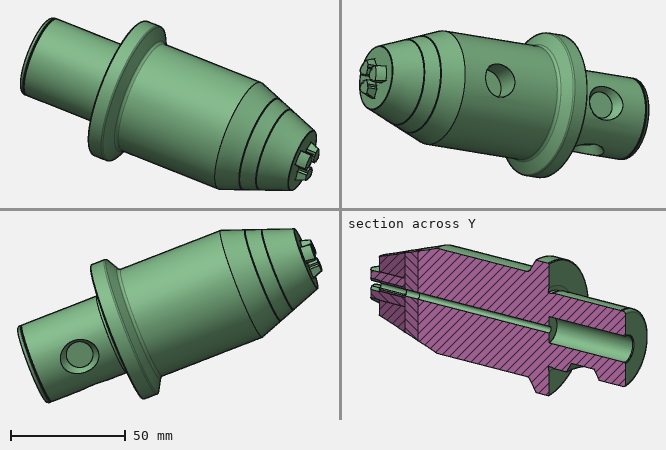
import cadquery as cq
import math


flange_back = 40.0
flange_rim_end = 46.9
taper_start = 98.4
collar_back = 108.5
nose_back = 115.5
nose_front = 128.8
jaw_tip = 133.2

shank_radius = 18.0
shank_end_fillet = 1.3
shank_groove_position = 1.7
shank_groove_width = 0.7
shank_groove_depth = 0.1
rear_bore_radius = 6.1
rear_bore_depth = 40.0
rear_bore_chamfer = 0.4
through_bore_radius = 1.5

undercut_length = 2.5
undercut_ramp = 1.0
undercut_depth = 0.4
undercut_outer_radius = 19.8

recess_position = 22.4
recess_mouth_radius = 8.5
recess_wall_angle = math.radians(30)
recess_floor = 13.3
recess_directions = [(0, 1, 0), (0, 0, -1)]

flange_diameter = 63.0
flange_radius = flange_diameter / 2
flange_chamfer = 0.4
flange_slope = math.radians(60)
flange_rim_fillet = 0.8
flange_root_fillet = 1.6

barrel_radius = 25.0
taper_slope = math.radians(20)
joint_chamfer = 0.2
key_hole_position = 80.5
key_hole_radius = 7.5
key_hole_floor = 13.3

jaw_count = 3
jaw_width = 6.7
jaw_tip_outer_radius = 7.5
jaw_slope = math.radians(20)
jaw_edge_distance = 1.5
jaw_edge_width = 4.5
jaw_step = 0.8
jaw_edge_half_angle = math.radians(60)


def taper_radius(x):
    """Radius of the front taper at position x."""
    return barrel_radius - (x - taper_start) * math.tan(taper_slope)


def revolve(points):
    """Turn a closed outline of (x, radius) points around the chuck axis."""
    return cq.Workplane("XY").polyline(points).close().revolve(360, (0, 0, 0), (1, 0, 0))


def circular_edge(body, x, radius):
    """Select the circular edge of the given radius that lies at position x."""
    tolerance = 0.001

    def matches(edge):
        if edge.geomType() != "CIRCLE":
            return False
        return abs(edge.Center().x - x) < tolerance and abs(edge.radius() - radius) < tolerance

    return body.edges().filter(matches)


def axial_cylinder(radius, start, end):
    """Cylinder on the chuck axis between two positions."""
    return cq.Workplane("YZ", origin=(start, 0, 0)).circle(radius).extrude(end - start)


def make_turned_blank():
    """Shank, flange, barrel and the first part of the taper, without holes."""
    cone_end = flange_rim_end + (flange_radius - barrel_radius) / math.tan(flange_slope)
    joint_radius = taper_radius(collar_back)
    blank = revolve([
        (0, 0),
        (0, shank_radius),
        (flange_back, shank_radius),
        (flange_back, flange_radius),
        (flange_rim_end, flange_radius),
        (cone_end, barrel_radius),
        (taper_start, barrel_radius),
        (collar_back, joint_radius),
        (collar_back, 0),
    ])
    blank = circular_edge(blank, 0, shank_radius).fillet(shank_end_fillet)
    blank = circular_edge(blank, flange_back, flange_radius).chamfer(flange_chamfer)
    blank = circular_edge(blank, flange_rim_end, flange_radius).fillet(flange_rim_fillet)
    blank = circular_edge(blank, cone_end, barrel_radius).fillet(flange_root_fillet)
    return circular_edge(blank, collar_back, joint_radius).chamfer(joint_chamfer)


def make_shank_groove():
    """Shallow V groove just behind the rounded shank end."""
    groove_end = shank_groove_position + shank_groove_width
    return revolve([
        (shank_groove_position, shank_radius),
        (shank_groove_position + shank_groove_width / 2, shank_radius - shank_groove_depth),
        (groove_end, shank_radius),
    ])


def make_undercut():
    """Relief groove between the shank and the flange, sloping out through the flange face."""
    undercut_radius = shank_radius - undercut_depth
    return revolve([
        (flange_back - undercut_length, shank_radius),
        (flange_back - undercut_length + undercut_ramp, undercut_radius),
        (flange_back + undercut_depth, undercut_radius),
        (flange_back, undercut_outer_radius),
        (flange_back - undercut_depth, undercut_outer_radius),
        (flange_back - undercut_depth, shank_radius),
    ])


def make_recess(direction):
    """Conical clamping recess with a flat floor, opening in the given direction."""
    depth = shank_radius - recess_floor
    floor_radius = recess_mouth_radius - depth * math.tan(recess_wall_angle)
    axis = cq.Vector(*direction)
    floor_centre = cq.Vector(recess_position, 0, 0) + axis * recess_floor
    cone = cq.Solid.makeCone(floor_radius, recess_mouth_radius, depth, floor_centre, axis)
    return cq.Workplane(cone)


def make_key_hole():
    """Blind hole in the +Y side of the barrel."""
    return (
        cq.Workplane("XZ", origin=(key_hole_position, barrel_radius, 0))
        .circle(key_hole_radius)
        .extrude(barrel_radius - key_hole_floor)
    )


def make_housing():
    housing = make_turned_blank().cut(make_shank_groove()).cut(make_undercut())
    housing = housing.cut(axial_cylinder(through_bore_radius, 0, collar_back))
    housing = housing.cut(axial_cylinder(rear_bore_radius, 0, rear_bore_depth))
    housing = circular_edge(housing, 0, rear_bore_radius).chamfer(rear_bore_chamfer)
    for direction in recess_directions:
        housing = housing.cut(make_recess(direction))
    return housing.cut(make_key_hole())


def make_taper_section(back, front):
    """Ring of the front taper with both outer rims chamfered and the through bore in it."""
    section = revolve([
        (back, through_bore_radius),
        (back, taper_radius(back)),
        (front, taper_radius(front)),
        (front, through_bore_radius),
    ])
    for position in (back, front):
        section = circular_edge(section, position, taper_radius(position)).chamfer(joint_chamfer)
    return section


def make_jaw(angle):
    """Jaw with a stepped V-shaped gripping edge and a conical back, turned to its angle about X."""
    length = jaw_tip - nose_back
    back_radius = jaw_tip_outer_radius + length * math.tan(jaw_slope)
    half_width = jaw_width / 2
    edge_half_width = jaw_edge_width / 2
    step_start = jaw_edge_distance + edge_half_width / math.tan(jaw_edge_half_angle)
    step_end = step_start + jaw_step
    shoulder = step_end + (half_width - edge_half_width) / math.tan(jaw_edge_half_angle)
    bar = (
        cq.Workplane("YZ", origin=(nose_back, 0, 0))
        .moveTo(jaw_edge_distance, 0)
        .lineTo(step_start, edge_half_width)
        .lineTo(step_end, edge_half_width)
        .lineTo(shoulder, half_width)
        .lineTo(back_radius, half_width)
        .lineTo(back_radius, 0)
        .mirrorX()
        .extrude(length)
    )
    cone = revolve([
        (nose_back, 0),
        (nose_back, back_radius),
        (jaw_tip, jaw_tip_outer_radius),
        (jaw_tip, 0),
    ])
    return bar.intersect(cone).rotate((0, 0, 0), (1, 0, 0), angle)


def make_nose(jaws):
    """Front end of the taper, with a slot that fits each jaw."""
    nose = make_taper_section(nose_back, nose_front)
    for jaw in jaws:
        nose = nose.cut(jaw)
    return nose


housing = make_housing()
collar = make_taper_section(collar_back, nose_back)
jaws = [make_jaw(index * 360 / jaw_count) for index in range(jaw_count)]
nose = make_nose(jaws)

bodies = [housing, collar, nose, *jaws]
result = cq.Compound.makeCompound([body.solids().val() for body in bodies])